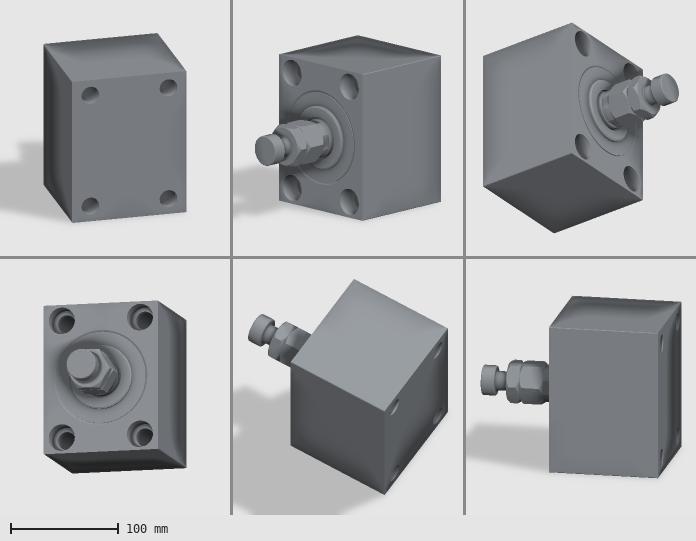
import cadquery as cq

HEAD_END = 12.7
NECK_END = 24.6
HEX_JOINT = 37.0
COUPLING_END = 59.1
FLATS_END = 67.0
GLAND_FACE = 70.0
BLOCK_FACE = 73.0
BLOCK_BACK = 176.0

BLOCK_WIDTH = 110.0
BLOCK_HEIGHT = 140.0
BLOCK_EDGE_CHAMFER = 0.5
BOLT_SPACING_Y = 75.0
BOLT_SPACING_Z = 110.0
BOLT_HOLE_DIAMETER = 16.9
COUNTERBORE_DIAMETER = 25.0
COUNTERBORE_DEPTH = 18.5
BORE_CHAMFER_RADIAL = 1.5
BORE_CHAMFER_AXIAL = 0.9

GLAND_DIAMETER = 86.0
GLAND_DEPTH = 26.4
COLLAR_DIAMETER = 60.0
COLLAR_CHAMFER_RADIAL = 1.4
COLLAR_CHAMFER_AXIAL = 0.9
WIPER_RECESS_DIAMETER = 39.8
WIPER_RECESS_DEPTH = 3.0
GLAND_BACK = BLOCK_FACE + GLAND_DEPTH

ROD_DIAMETER = 36.0
ROD_CHAMFER = 0.9
ROD_END_DIAMETER = 34.8
WRENCH_WIDTH = 32.0

HEAD_DIAMETER = 28.2
HEAD_CHAMFER = 0.7
NECK_DIAMETER = 18.0
NECK_FILLET = 1.0
HEX_WIDTH = 36.0
HEX_FACE_DIAMETER = 35.7
HEX_CORNER_CUT = 3.5
HEX_TURN = 30


def cylinder(diameter, x_start, x_end):
    """Round bar about the X axis."""
    return cq.Workplane("YZ", origin=(x_start, 0, 0)).circle(diameter / 2).extrude(x_end - x_start)


def revolve_about_x(outline):
    """Close an outline drawn as (axial position, radius) and turn it about the X axis."""
    return outline.close().revolve(360, (0, 0, 0), (1, 0, 0))


def bolt_cylinders(diameter, x_start, x_end):
    """Four round bars at the bolt positions."""
    return (
        cq.Workplane("YZ", origin=(x_start, 0, 0))
        .rect(BOLT_SPACING_Y, BOLT_SPACING_Z, forConstruction=True)
        .vertices()
        .circle(diameter / 2)
        .extrude(x_end - x_start)
    )


def make_block():
    """Block with chamfered long edges, counterbored bolt holes and a chamfered blind bore for the gland."""
    block = (
        cq.Workplane("YZ", origin=(BLOCK_FACE, 0, 0))
        .rect(BLOCK_WIDTH, BLOCK_HEIGHT)
        .extrude(BLOCK_BACK - BLOCK_FACE)
        .edges("|X")
        .chamfer(BLOCK_EDGE_CHAMFER)
    )
    bore_radius = GLAND_DIAMETER / 2
    bore_profile = [
        (BLOCK_FACE, 0),
        (BLOCK_FACE, bore_radius + BORE_CHAMFER_RADIAL),
        (BLOCK_FACE + BORE_CHAMFER_AXIAL, bore_radius),
        (GLAND_BACK, bore_radius),
        (GLAND_BACK, 0),
    ]
    bore = revolve_about_x(cq.Workplane("XY").polyline(bore_profile))
    bolt_holes = bolt_cylinders(BOLT_HOLE_DIAMETER, BLOCK_FACE, BLOCK_BACK)
    counterbores = bolt_cylinders(COUNTERBORE_DIAMETER, BLOCK_FACE, BLOCK_FACE + COUNTERBORE_DEPTH)
    return block.cut(bore).cut(bolt_holes).cut(counterbores)


def make_gland():
    """Disc with a chamfered collar, bored for the rod and recessed around it."""
    collar_radius = COLLAR_DIAMETER / 2
    wiper_floor = GLAND_FACE + WIPER_RECESS_DEPTH
    profile = [
        (GLAND_FACE, WIPER_RECESS_DIAMETER / 2),
        (GLAND_FACE, collar_radius - COLLAR_CHAMFER_RADIAL),
        (GLAND_FACE + COLLAR_CHAMFER_AXIAL, collar_radius),
        (BLOCK_FACE, collar_radius),
        (BLOCK_FACE, GLAND_DIAMETER / 2),
        (GLAND_BACK, GLAND_DIAMETER / 2),
        (GLAND_BACK, ROD_DIAMETER / 2),
        (wiper_floor, ROD_DIAMETER / 2),
        (wiper_floor, WIPER_RECESS_DIAMETER / 2),
    ]
    return revolve_about_x(cq.Workplane("XY").polyline(profile))


def make_rod():
    """Round rod whose reduced end carries four wrench flats."""
    shank = cylinder(ROD_DIAMETER, FLATS_END, GLAND_BACK).faces("<X").chamfer(ROD_CHAMFER)
    flats = (
        cq.Workplane("YZ", origin=(COUPLING_END, 0, 0))
        .rect(WRENCH_WIDTH, WRENCH_WIDTH)
        .extrude(FLATS_END - COUPLING_END)
    )
    rod_end = cylinder(ROD_END_DIAMETER, COUPLING_END, FLATS_END).intersect(flats)
    return shank.union(rod_end)


def make_hexagon(x_start, x_end):
    """Hexagon with flats facing +Z and -Z, its corners turned off at 45 degrees at both ends."""
    length = x_end - x_start
    prism = (
        cq.Workplane("YZ", origin=(x_start, 0, 0))
        .polygon(6, HEX_WIDTH, circumscribed=True)
        .extrude(length)
        .rotate((0, 0, 0), (1, 0, 0), HEX_TURN)
    )
    envelope = (
        cylinder(HEX_FACE_DIAMETER + 2 * HEX_CORNER_CUT, x_start, x_end)
        .faces("<X or >X")
        .chamfer(HEX_CORNER_CUT)
    )
    return prism.intersect(envelope)


def make_coupling():
    """Round head on a filleted neck, followed by a short and a long hexagon."""
    head = cylinder(HEAD_DIAMETER, 0, HEAD_END).faces("<X or >X").chamfer(HEAD_CHAMFER)
    neck_radius = NECK_DIAMETER / 2
    flare_radius = neck_radius + NECK_FILLET
    neck_outline = (
        cq.Workplane("XY")
        .moveTo(HEAD_END, 0)
        .lineTo(HEAD_END, flare_radius)
        .radiusArc((HEAD_END + NECK_FILLET, neck_radius), -NECK_FILLET)
        .lineTo(NECK_END - NECK_FILLET, neck_radius)
        .radiusArc((NECK_END, flare_radius), -NECK_FILLET)
        .lineTo(NECK_END, 0)
    )
    neck = revolve_about_x(neck_outline)
    short_hexagon = make_hexagon(NECK_END, HEX_JOINT)
    long_hexagon = make_hexagon(HEX_JOINT, COUPLING_END)
    return head.union(neck).union(short_hexagon).union(long_hexagon)


block = make_block()
gland = make_gland()
rod = make_rod()
coupling = make_coupling()

result = cq.Compound.makeCompound([block.val(), gland.val(), rod.val(), coupling.val()])